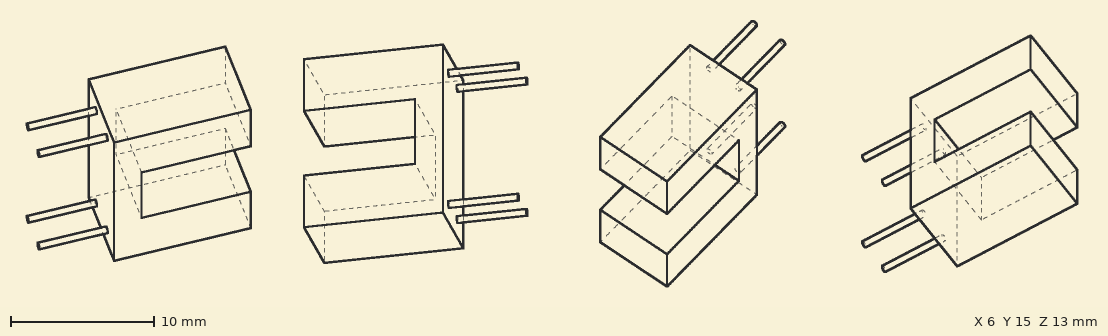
import cadquery as cq

width = 6.0
total_length = 15.0
height = 13.0

body_length = 10.0
slot_height = 5.0
slot_depth = 8.0

pin_diameter = 0.5
pin_spacing_x = 2.54
pin_spacing_z = 10.15
pin_length = total_length - body_length


def make_body():
    """Block whose -Y face lies at Y = 0, slotted through X from its +Y end."""
    block = cq.Workplane("XY").box(width, body_length, height, centered=(True, False, True))
    slot = (
        cq.Workplane("XY")
        .box(width, slot_depth, slot_height, centered=(True, False, True))
        .translate((0, body_length - slot_depth, 0))
    )
    return block.cut(slot)


def make_pins():
    """Four round pins pointing toward -Y from the closed face of the body."""
    return (
        cq.Workplane("XZ")
        .rarray(pin_spacing_x, pin_spacing_z, 2, 2)
        .circle(pin_diameter / 2)
        .extrude(pin_length)
    )


result = make_body().union(make_pins())